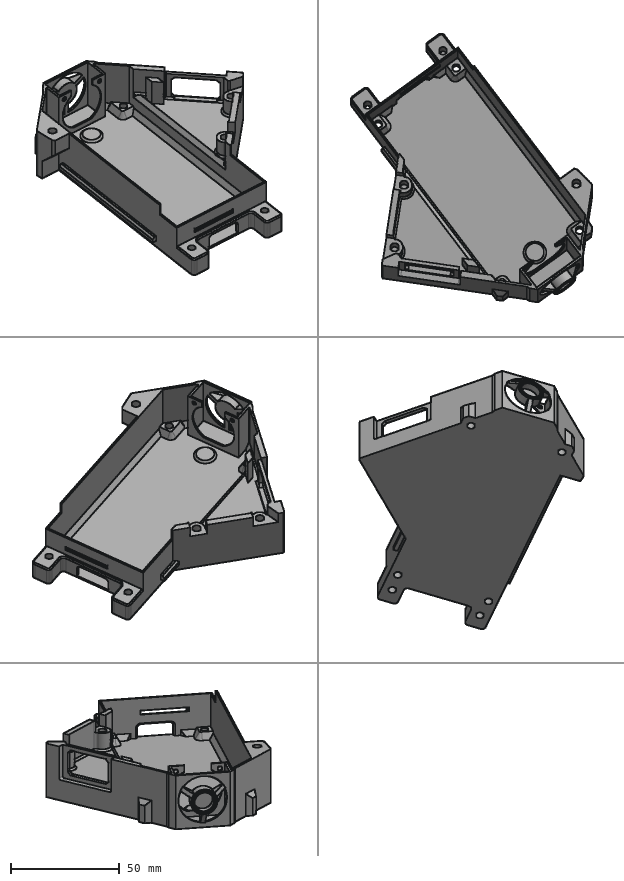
import cadquery as cq
import math

height = 26.5
end_wall_top = 20.7
floor_top = 1.0
partition_sill = 4.0
half_width = 26.5
wall = 0.8
box_end = 118.8
front_wall_end = 106.4
length = 131.3

nose_x = 4.1
nose_half = 12.7
diagonal = 7.7
diagonal_wall = 1.5
apex_y = 63.3
wing_sum = 119.8

ear_tip = 36.8
ear_end = 40.0
ear_hole = (33.7, -31.3)
pin_depth = 7.9

housing_half = 12.6
housing_wall = 1.2
housing_start = 5.3
housing_end = 15.9
partition = 0.8
axis_z = 13.99
port_radius = 11.36
nozzle_radius = 6.2
nozzle_bore = 9.0
spoke_width = 2.2

skirt_run = 2.1
skirt_top = 3.7
post_top = 4.5
post_x = (19.3, 114.6)
post_y = 22.3
post_half = 2.9
screw_hole = 3.5
pin_hole = 4.0

wing_floor = 12.0
sill_y = 27.8
wing_wall = 4.2
wing_post_top = end_wall_top
wing_post_radius = 3.8
wing_posts = ((60.4, 53.0), (81.5, 32.0))
root_blend = 0.9
panel_across = (-3.5, -1.2)
panel_along = (69.6, 109.0)

tab_top = 9.6
tab_inner = 16.5
ledge_end = 120.4
tab_hole = (123.8, 21.5)

inner_half = half_width - wall
inner_end = box_end - wall
root2 = math.sqrt(2)


def prism(points, bottom, top):
    return cq.Workplane("XY").workplane(offset=bottom).polyline(points).close().extrude(top - bottom)


def block(x0, x1, y0, y1, z0, z1):
    return cq.Workplane("XY").box(x1 - x0, y1 - y0, z1 - z0, centered=False).translate((x0, y0, z0))


def upright(x, y, diameter, bottom, top):
    return cq.Workplane("XY").workplane(offset=bottom).center(x, y).circle(diameter / 2).extrude(top - bottom)


def along_x(radius, x0, x1):
    return cq.Workplane("YZ").workplane(offset=x0).center(0, axis_z).circle(radius).extrude(x1 - x0)


def diagonal_block(start, end, near, far, bottom, top):
    """Block square to the wing walls: x - y runs start..end and x + y runs near..far."""
    corners = [((s + t) / 2, (s - t) / 2) for t, s in
               ((start, near), (end, near), (end, far), (start, far))]
    return prism(corners, bottom, top)


def outer_body():
    nose_side = [(nose_x, nose_half), (6.8, 15.4), (8.3, 8.3 + diagonal)]
    ear = [(ear_tip - diagonal, -ear_tip), (29.8, -ear_tip), (38.7, -35.6), (ear_end, -34.8),
           (ear_end, -half_width)]
    front_wall = [(front_wall_end, -half_width), (front_wall_end, -inner_half)]
    wing = [(wing_sum - half_width, half_width), (wing_sum - apex_y, apex_y),
            (apex_y - diagonal, apex_y)]
    outline = [(x, -y) for x, y in nose_side] + ear + front_wall + wing + nose_side[::-1]
    body = prism(outline, 0, height)
    return body.union(block(26.3, box_end, -half_width, half_width, 0, end_wall_top))


def ear_undercut():
    """Material removed below the ear, leaving a 45 degree underside."""
    under_x, under_z = 32.6, 10.2
    profile = [(under_x, 0), (under_x, under_z), (ear_end, under_z + ear_end - under_x), (ear_end, 0)]
    plane = cq.Workplane("XZ").workplane(offset=half_width)
    return plane.polyline(profile).close().extrude(ear_tip - half_width)


def end_tabs():
    corner_round = 1.8
    tabs = block(inner_end, length, -half_width, half_width, 0, tab_top)
    tabs = tabs.cut(block(ledge_end, length, -tab_inner, tab_inner, 0, tab_top))
    tabs = tabs.edges("|Z and (not <X)").fillet(corner_round)
    return tabs.faces(">Z").edges("not <X").chamfer(0.7)


def side_rail():
    start, rail_length = 35.6, 68.3
    outer_y, bottom, top, bevel = 28.6, 3.4, 6.3, 1.0
    profile = [(inner_half, bottom), (outer_y, bottom), (outer_y, top - bevel), (outer_y - bevel, top),
               (inner_half, top)]
    return cq.Workplane("YZ").workplane(offset=start).polyline(profile).close().extrude(rail_length)


def corner_foot():
    """Foot on a diagonal wall: chamfered corner, top sloping down and outwards at 45 degrees."""
    x0, y1, cut, top = 14.3, 27.3, 2.0, 11.0
    overlap, depth, reach = 0.3, 5.3, 26.3
    foot = prism([(x0, x0 + diagonal - overlap), (x0, y1 - cut), (x0 + cut, y1),
                  (y1 - diagonal + overlap, y1)], 0, top)
    slope = (cq.Workplane("XZ").polyline([(0, top), (-depth, top - depth), (-depth, top)]).close()
             .extrude(reach, both=True)
             .rotate((0, 0, 0), (0, 0, 1), -45).translate((x0, x0 + diagonal, 0)))
    return foot.cut(slope)


def box_post(x, y, side_x, side_y):
    """Screw post whose inner corner (towards side_x, side_y) carries a sloping skirt."""
    reach, corner = 7.9, 0.8
    cx, cy = x + side_x * post_half, y + side_y * post_half
    flank = [(0, floor_top), (skirt_run, floor_top), (0, post_top), (-reach, post_top), (-reach, floor_top)]
    across_x = cq.Workplane("XZ").workplane(offset=corner).polyline(flank).close().extrude(reach)
    across_y = cq.Workplane("YZ").workplane(offset=-corner).polyline(flank).close().extrude(-reach)
    base = cq.Vector(-corner, -corner, floor_top)
    cone = cq.Workplane(cq.Solid.makeCone(corner + skirt_run, corner, post_top - floor_top, pnt=base))
    post = across_x.union(across_y).union(cone)
    if side_x < 0:
        post = post.mirror("YZ")
    if side_y < 0:
        post = post.mirror("XZ")
    return post.translate((cx, cy, 0))


def box_cavity():
    """Space inside the box: skirted floor edges, four screw posts and a round floor button."""
    inner = diagonal - diagonal_wall
    tip = 7.9
    points = [(tip, -tip - inner), (inner_half - inner, -inner_half), (inner_end, -inner_half),
              (inner_end, inner_half), (inner_half - inner, inner_half), (tip, tip + inner)]
    angle = math.degrees(math.atan(skirt_run / (skirt_top - floor_top)))
    cavity = prism(points, skirt_top, height)
    lower = (cq.Workplane("XY").workplane(offset=skirt_top).polyline(points).close()
             .extrude(floor_top - skirt_top, taper=angle))
    cavity = cavity.union(lower)
    skirt_end, taper_run = 11.7, 3.3
    clear = [(inner_end - taper_run, -skirt_end - taper_run), (inner_end, -skirt_end),
             (inner_end, skirt_end), (inner_end - taper_run, skirt_end + taper_run)]
    cavity = cavity.union(prism(clear, floor_top, skirt_top))
    for side_y in (-1, 1):
        cavity = cavity.cut(box_post(post_x[0], side_y * post_y, 1, -side_y))
        cavity = cavity.cut(box_post(post_x[1], side_y * post_y, -1, -side_y))
    button_base, button_face, button_rise = 5.3, 4.2, 1.0
    button_at = cq.Vector(23.6, 0, floor_top)
    floor_button = cq.Workplane(cq.Solid.makeCone(button_base, button_face, button_rise, pnt=button_at))
    return cavity.cut(floor_button)


def housing():
    """Room, openings and shell of the nose housing; the partition is open at the top as well."""
    outer_half = housing_half + housing_wall
    mouth_half = 6.3
    shell = block(housing_start, housing_end + partition, -outer_half, outer_half, 0, height)
    room = block(housing_start, housing_end, -housing_half, housing_half, floor_top, height)
    port = along_x(port_radius, nose_x, housing_start)
    above_sill = block(housing_end, housing_end + partition, -housing_half, housing_half, partition_sill, height)
    arch = along_x(port_radius, housing_end, housing_end + partition).intersect(above_sill)
    arch = arch.union(block(housing_end, housing_end + partition, -mouth_half, mouth_half, axis_z, height))
    return room, port.union(arch), shell


def nozzle():
    """Blind ring on the nose axis, carried by three sloping spokes."""
    rim_chamfer = 0.5
    tube = along_x(nozzle_radius, 0, housing_start).cut(along_x(nozzle_bore / 2, 0, nose_x))
    tube = tube.faces("<X").edges().chamfer(rim_chamfer)
    spoke_root = 5.5
    spoke_tip = port_radius + 0.3
    profile = [(rim_chamfer, spoke_root), (rim_chamfer, nozzle_radius), (nose_x, spoke_tip),
               (housing_start, spoke_tip), (housing_start, spoke_root)]
    spoke = cq.Workplane("XZ").polyline(profile).close().extrude(spoke_width / 2, both=True)
    for angle in (60, 180, 300):
        tube = tube.union(spoke.rotate((0, 0, 0), (1, 0, 0), angle).translate((0, 0, axis_z)))
    return tube


def end_wall_openings():
    """Round-topped vent level with the floor, flared on the inside, and a narrow slot above it."""
    flare, vent_half, vent_top, corner = 0.8, 8.5, 7.6, 1.8
    vent_height = vent_top - floor_top
    above_floor = block(inner_end, ledge_end, -inner_half, inner_half, floor_top, height)

    def vent(grow):
        return (cq.Sketch().rect(2 * (vent_half + grow), 2 * (vent_height + grow))
                .vertices().fillet(corner + grow))

    plane = cq.Workplane("YZ").workplane(offset=inner_end).center(0, floor_top)
    opening = plane.placeSketch(vent(0)).extrude(ledge_end - inner_end)
    mouth = plane.placeSketch(vent(flare), vent(0).moved(cq.Location(cq.Vector(0, 0, flare)))).loft()
    opening = opening.union(mouth).intersect(above_floor)
    upper_slot = block(inner_end, box_end, -15.8, 7.0, 12.6, 14.6)
    return opening.union(upper_slot)


def partition_eyelets():
    eyelet_y, eyelet_z, eyelet_radius = 10.4, 23.8, 1.0
    points = [(-eyelet_y, eyelet_z), (eyelet_y, eyelet_z)]
    return (cq.Workplane("YZ").workplane(offset=housing_end).pushPoints(points).circle(eyelet_radius)
            .extrude(partition))


def screw_holes():
    points = [(x, side * post_y) for x in post_x for side in (-1, 1)]
    points += [(tab_hole[0], side * tab_hole[1]) for side in (-1, 1)]
    return cq.Workplane("XY").pushPoints(points).circle(screw_hole / 2).extrude(height)


wing_inner_sum = wing_sum - wing_wall
wing_inner_diff = wing_wall - diagonal
across_wall = cq.selectors.ParallelDirSelector(cq.Vector(1, -1, 0))


def wing_cavity():
    """Space inside the wing, with a sloping sill where it opens into the box."""
    sill_low = 9.8
    head_y = 54.4
    root_round = 1.3
    points = [(inner_half + wing_inner_diff, inner_half), (wing_inner_sum - inner_half, inner_half),
              (wing_inner_sum - head_y, head_y), (head_y + wing_inner_diff, head_y)]
    cavity = prism(points, wing_floor, height)
    half = wing_post_radius * root2
    for x, y in wing_posts:
        cavity = cavity.cut(upright(x, y, 2 * wing_post_radius, wing_floor, height))
        cavity = cavity.cut(diagonal_block(x - y - half, x - y + half, x + y, wing_sum, wing_floor, height))
    on_far_wall = cavity.edges("|Z").filter(
        lambda edge: edge.Center().y > sill_y and abs(edge.Center().x + edge.Center().y - wing_inner_sum) < 0.01)
    cavity = on_far_wall.fillet(root_round)
    cavity = cavity.cut(diagonal_block(*panel_across, *panel_along, wing_floor, height))
    cavity = cavity.faces("<Z").edges("not <Y").chamfer(root_blend)
    sill = (cq.Workplane("YZ").polyline([(inner_half, sill_low), (sill_y, wing_floor), (inner_half, wing_floor)])
            .close().extrude(length))
    return cavity.union(sill.intersect(prism(points, 0, height)))


def panel_notch():
    """Notch through the near wing wall, leaving the thin window panel behind it."""
    notch = diagonal_block(-diagonal - 1.3, panel_across[0], 68.2, 108.9, 10.1, height)
    return notch.faces("<Z").edges(across_wall).fillet(1.0)


def panel_window():
    window = diagonal_block(panel_across[0] - 1.3, panel_across[1] + 1.3, 73.0, 105.0, 12.2, 24.5)
    return window.edges(across_wall).chamfer(1.6)


def wing_rib():
    back_y, left, width, top = 31.8, 28.9, 4.2, 25.0
    shift = back_y - sill_y
    return prism([(left, sill_y), (left + width, sill_y), (left + width + shift, back_y),
                  (left + shift, back_y)], floor_top, top)


def wing_rim_gaps():
    """The rim drops to the post tops beside each wing post."""
    gap_half = 4.1 * root2
    behind = 6.6
    gaps = prism([(58.2, 62.2), (56.5, 53.8), wing_posts[0], (61.3, 58.7)], wing_post_top, height)
    for x, y in wing_posts:
        gaps = gaps.union(diagonal_block(x - y - gap_half, x - y + gap_half, x + y - behind, wing_sum,
                                         wing_post_top, height))
    return gaps


result = outer_body().cut(ear_undercut()).union(end_tabs())
for piece in (side_rail(), corner_foot()):
    result = result.union(piece).union(piece.mirror("XZ"))

room, openings, shell = housing()
result = result.cut(box_cavity()).union(shell).cut(room).cut(openings).union(nozzle())
result = result.cut(partition_eyelets()).cut(end_wall_openings()).cut(screw_holes())

result = result.cut(wing_cavity()).cut(panel_notch()).cut(panel_window()).cut(wing_rim_gaps())
result = result.union(wing_rib())

for x, y in wing_posts:
    result = result.cut(upright(x, y, pin_hole, wing_post_top - pin_depth, wing_post_top))
result = result.cut(upright(*ear_hole, pin_hole, height - pin_depth, height))